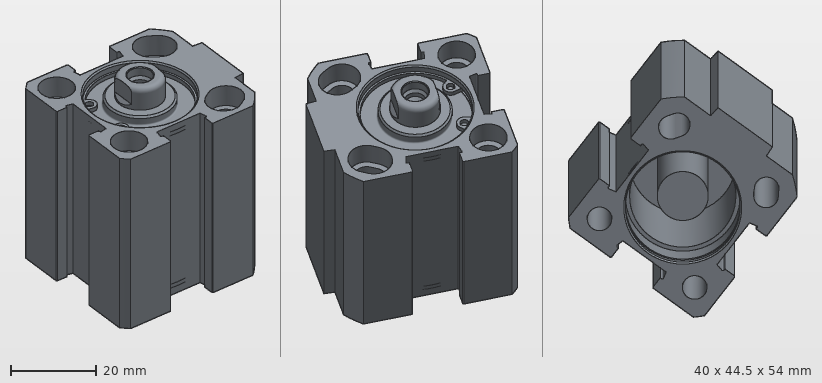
import cadquery as cq
import math

WIDTH = 40.0
DEPTH = 44.5
TOTAL_HEIGHT = 54.0
HOUSING_HEIGHT = 48.5
HALF_WIDTH = WIDTH / 2
CORNER_RADIUS = 27.0
SHOULDER_Y = 21.85
BOSS_Y = DEPTH - HALF_WIDTH
BOSS_TOP_HALF_WIDTH = 8.0
BOSS_BASE_HALF_WIDTH = 8.2

SLOT_MOUTH_HALF_WIDTH = 6.1
SLOT_MOUTH_CHAMFER = 0.2
SLOT_UNDERCUT_HALF_WIDTH = 6.85
SLOT_UNDERCUT_FILLET = 0.25
SLOT_FLOOR_HALF_WIDTH = 6.35
SLOT_LIP = 16.95
SIDE_SLOT_FLOOR = 14.85
FRONT_SLOT_FLOOR = 15.0

MOUNT_OFFSET = 14.0
OBLONG_END_X = 13.05
OBLONG_END_Y = 15.45
MOUNT_DIAMETER = 5.8
MOUNT_SEAT_DIAMETER = 8.8
MOUNT_SEAT_DEPTH = 5.65

BORE_DIAMETER = 25.0
MOUTH_DIAMETER = 27.0
MOUTH_DEPTH = 9.7
MOUTH_CHAMFER = 0.4
GROOVE_DIAMETER = 29.5
GROOVE_WIDTH = 1.1
GROOVE_DEPTH = 1.9
GROOVE_TOP = HOUSING_HEIGHT - GROOVE_DEPTH

COVER_DIAMETER = 26.9
COVER_TOP = GROOVE_TOP - GROOVE_WIDTH
COVER_BOTTOM = HOUSING_HEIGHT - MOUTH_DEPTH
COLLAR_DIAMETER = 17.5
COLLAR_HEIGHT = 2.5
COLLAR_CHAMFER = 0.5
COLLAR_FILLET = 0.4

ROD_DIAMETER = 12.0
ROD_BOTTOM = MOUTH_DEPTH
ROD_EDGE_RADIUS = 1.3
FLAT_HALF_WIDTH = 5.0
FLAT_LENGTH = 4.55
SOCKET_DIAMETER = 6.25
SOCKET_CHAMFER = 0.2
SOCKET_DEPTH = 2.45
DRILL_DIAMETER = 4.9
DRILL_DEPTH = 4.3
DRILL_POINT_ANGLE = 118.0

RING_OUTER_DIAMETER = 28.4
RING_INNER_DIAMETER = 25.9
EAR_X = 6.1
EAR_Y = -10.3
EAR_RADIUS = 1.85
EAR_HOLE_DIAMETER = 2.0
EAR_FLARE_ANGLE = 16.0


def cylinder(diameter, bottom, top):
    return cq.Workplane("XY").workplane(offset=bottom).circle(diameter / 2).extrude(top - bottom)


def revolved(half_profile):
    """Solid of revolution about Z from a closed profile of (radius, z) points."""
    return cq.Workplane("XZ").polyline(half_profile).close().revolve(360, (0, 0), (0, 1))



def housing_block():
    """Block with its four corners on one circle, and the tapered boss on the +Y side."""
    block = (
        cq.Workplane("XY")
        .center(0, (SHOULDER_Y - HALF_WIDTH) / 2)
        .rect(WIDTH, SHOULDER_Y + HALF_WIDTH)
        .extrude(HOUSING_HEIGHT)
        .intersect(cylinder(2 * CORNER_RADIUS, 0, HOUSING_HEIGHT))
    )
    boss = (
        cq.Workplane("XY")
        .polyline([
            (-BOSS_BASE_HALF_WIDTH, 0),
            (BOSS_BASE_HALF_WIDTH, 0),
            (BOSS_BASE_HALF_WIDTH, SHOULDER_Y),
            (BOSS_TOP_HALF_WIDTH, BOSS_Y),
            (-BOSS_TOP_HALF_WIDTH, BOSS_Y),
            (-BOSS_BASE_HALF_WIDTH, SHOULDER_Y),
        ])
        .close()
        .extrude(HOUSING_HEIGHT)
    )
    return block.union(boss)


def slot_cutter(angle, floor):
    """Full-height undercut slot, drawn opening toward +X and then turned about the axis."""
    upper_half = [
        (HALF_WIDTH, SLOT_MOUTH_HALF_WIDTH + SLOT_MOUTH_CHAMFER),
        (HALF_WIDTH - SLOT_MOUTH_CHAMFER, SLOT_MOUTH_HALF_WIDTH),
        (SLOT_LIP, SLOT_MOUTH_HALF_WIDTH),
        (SLOT_LIP, SLOT_UNDERCUT_HALF_WIDTH),
        (floor, SLOT_FLOOR_HALF_WIDTH),
    ]
    lower_half = [(x, -y) for x, y in reversed(upper_half)]
    cutter = cq.Workplane("XY").polyline(upper_half + lower_half).close().extrude(HOUSING_HEIGHT)
    cutter = cutter.edges("|Z and (>Y or <Y)").fillet(SLOT_UNDERCUT_FILLET)
    return cutter.rotate((0, 0, 0), (0, 0, 1), angle)


def oblong(diameter, side, bottom):
    """Oblong prism up to the housing top, on the -X side (side = -1) or the +X side (side = 1)."""
    span_x = side * (OBLONG_END_X - MOUNT_OFFSET)
    span_y = OBLONG_END_Y - MOUNT_OFFSET
    length = math.hypot(span_x, span_y) + diameter
    angle = math.degrees(math.atan2(span_y, span_x))
    return (
        cq.Workplane("XY")
        .workplane(offset=bottom)
        .center(side * MOUNT_OFFSET + span_x / 2, MOUNT_OFFSET + span_y / 2)
        .slot2D(length, diameter, angle)
        .extrude(HOUSING_HEIGHT - bottom)
    )


def cut_mounting_holes(housing):
    """Four through holes, each with a wider screw-head seat from the top."""
    seat_floor = HOUSING_HEIGHT - MOUNT_SEAT_DEPTH
    for side in (-1, 1):
        for diameter, bottom in ((MOUNT_DIAMETER, 0), (MOUNT_SEAT_DIAMETER, seat_floor)):
            round_hole = cylinder(diameter, bottom, HOUSING_HEIGHT)
            housing = housing.cut(round_hole.translate((side * MOUNT_OFFSET, -MOUNT_OFFSET, 0)))
            housing = housing.cut(oblong(diameter, side, bottom))
    return housing


def cut_bore(housing):
    """Through bore with the same chamfered, grooved mouth at both ends."""
    mouth_radius = MOUTH_DIAMETER / 2
    groove_radius = GROOVE_DIAMETER / 2
    mouth = revolved([
        (0, COVER_BOTTOM),
        (mouth_radius, COVER_BOTTOM),
        (mouth_radius, COVER_TOP),
        (groove_radius, COVER_TOP),
        (groove_radius, GROOVE_TOP),
        (mouth_radius, GROOVE_TOP),
        (mouth_radius, HOUSING_HEIGHT - MOUTH_CHAMFER),
        (mouth_radius + MOUTH_CHAMFER, HOUSING_HEIGHT),
        (0, HOUSING_HEIGHT),
    ])
    lower_mouth = mouth.mirror("XY").translate((0, 0, HOUSING_HEIGHT))
    return housing.cut(cylinder(BORE_DIAMETER, 0, HOUSING_HEIGHT)).cut(mouth).cut(lower_mouth)


def make_housing():
    housing = housing_block()
    for angle, floor in ((0, SIDE_SLOT_FLOOR), (180, SIDE_SLOT_FLOOR), (270, FRONT_SLOT_FLOOR)):
        housing = housing.cut(slot_cutter(angle, floor))
    return cut_bore(cut_mounting_holes(housing))



def make_cover():
    """Disc with a central collar around the rod; the collar foot is rounded into the disc."""
    rod_radius = ROD_DIAMETER / 2
    disc_radius = COVER_DIAMETER / 2
    collar_radius = COLLAR_DIAMETER / 2
    collar_top = COVER_TOP + COLLAR_HEIGHT
    fillet_mid = COLLAR_FILLET * (1 - math.sqrt(0.5))
    return (
        cq.Workplane("XZ")
        .moveTo(rod_radius, COVER_BOTTOM)
        .lineTo(disc_radius, COVER_BOTTOM)
        .lineTo(disc_radius, COVER_TOP)
        .lineTo(collar_radius + COLLAR_FILLET, COVER_TOP)
        .threePointArc(
            (collar_radius + fillet_mid, COVER_TOP + fillet_mid),
            (collar_radius, COVER_TOP + COLLAR_FILLET),
        )
        .lineTo(collar_radius, collar_top - COLLAR_CHAMFER)
        .lineTo(collar_radius - COLLAR_CHAMFER, collar_top)
        .lineTo(rod_radius, collar_top)
        .close()
        .revolve(360, (0, 0), (0, 1))
    )



def flat_cutter():
    """Cutter for the +Y wrench flat, with a foot that slopes out at 45 degrees."""
    run = ROD_DIAMETER / 2 - FLAT_HALF_WIDTH
    flat_foot = TOTAL_HEIGHT - FLAT_LENGTH
    return (
        cq.Workplane("YZ")
        .polyline([
            (FLAT_HALF_WIDTH, TOTAL_HEIGHT),
            (FLAT_HALF_WIDTH, flat_foot),
            (FLAT_HALF_WIDTH + run, flat_foot - run),
            (FLAT_HALF_WIDTH + run, TOTAL_HEIGHT),
        ])
        .close()
        .extrude(ROD_DIAMETER / 2, both=True)
    )


def end_hole():
    """Chamfered socket that narrows at 45 degrees into a drilled hole with a conical end."""
    socket_radius = SOCKET_DIAMETER / 2
    drill_radius = DRILL_DIAMETER / 2
    socket_floor = TOTAL_HEIGHT - SOCKET_DEPTH
    drill_floor = TOTAL_HEIGHT - DRILL_DEPTH
    point_length = drill_radius / math.tan(math.radians(DRILL_POINT_ANGLE / 2))
    return revolved([
        (0, TOTAL_HEIGHT),
        (socket_radius + SOCKET_CHAMFER, TOTAL_HEIGHT),
        (socket_radius, TOTAL_HEIGHT - SOCKET_CHAMFER),
        (socket_radius, socket_floor),
        (drill_radius, socket_floor - (socket_radius - drill_radius)),
        (drill_radius, drill_floor),
        (0, drill_floor - point_length),
    ])


def make_rod():
    rod = cylinder(ROD_DIAMETER, ROD_BOTTOM, TOTAL_HEIGHT).faces(">Z").edges().fillet(ROD_EDGE_RADIUS)
    flat = flat_cutter()
    return rod.cut(flat).cut(flat.mirror("XZ")).cut(end_hole())



def make_ear():
    """Ear on the +X side: a round eye whose flanks flare outward to the ring's outer edge."""
    flare = math.radians(EAR_FLARE_ANGLE)
    reach = RING_OUTER_DIAMETER / 2
    tangent_x = -EAR_RADIUS * math.sin(flare)
    tangent_y = EAR_RADIUS * math.cos(flare)
    outer_x = tangent_x + reach
    outer_y = tangent_y + reach * math.tan(flare)
    flanks = (
        cq.Workplane("XY")
        .workplane(offset=COVER_TOP)
        .polyline([
            (tangent_x, tangent_y),
            (outer_x, outer_y),
            (outer_x, -outer_y),
            (tangent_x, -tangent_y),
        ])
        .close()
        .extrude(GROOVE_WIDTH)
    )
    ear = (
        flanks
        .union(cylinder(2 * EAR_RADIUS, COVER_TOP, GROOVE_TOP))
        .cut(cylinder(EAR_HOLE_DIAMETER, COVER_TOP, GROOVE_TOP))
    )
    outward_angle = math.degrees(math.atan2(EAR_Y, EAR_X))
    ear = ear.rotate((0, 0, 0), (0, 0, 1), outward_angle).translate((EAR_X, EAR_Y, 0))
    return ear.intersect(cylinder(RING_OUTER_DIAMETER, COVER_TOP, GROOVE_TOP))


def make_ring():
    """Ring that lies on the cover inside the upper groove, open between its two ears."""
    band = (
        cylinder(RING_OUTER_DIAMETER, COVER_TOP, GROOVE_TOP)
        .cut(cylinder(RING_INNER_DIAMETER, COVER_TOP, GROOVE_TOP))
    )
    gap = (
        cq.Workplane("XY")
        .workplane(offset=COVER_TOP)
        .polyline([(0, 0), (2 * EAR_X, 2 * EAR_Y), (-2 * EAR_X, 2 * EAR_Y)])
        .close()
        .extrude(GROOVE_WIDTH)
    )
    ear = make_ear()
    return band.cut(gap).union(ear).union(ear.mirror("YZ"))


housing = make_housing()
cover = make_cover()
rod = make_rod()
ring = make_ring()

result = cq.Compound.makeCompound([body.solids().val() for body in (housing, cover, rod, ring)])